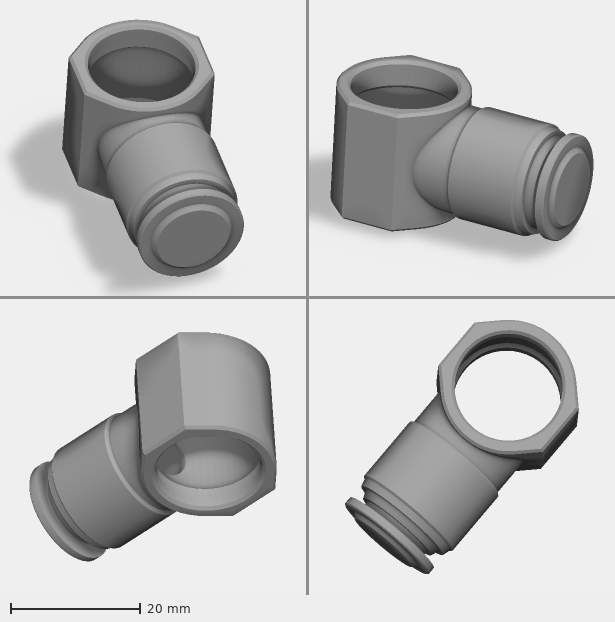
import cadquery as cq
import math

TILT_ABOUT_X = -2.6
TILT_ABOUT_Y = 1.7

HUB_RADIUS = 10.53
HUB_HEIGHT = 20.05
HUB_EDGE_CHAMFER = 0.45
BORE_RADIUS = 8.35
BORE_MOUTH_CHAMFER = 0.5
GROOVE_HEIGHT = 11.88
GROOVE_DEPTH = 0.6

NECK_RADIUS = 8.48
BODY_RADIUS = 8.95
CAP_BASE_RADIUS = 8.6
CAP_END_RADIUS = 8.27
NOSE_BASE_RADIUS = 7.37
NOSE_END_RADIUS = 6.85
STEM_RADIUS = 6.02
STEM_FILLET = 0.33
FLANGE_RADIUS = 8.48
FLANGE_CHAMFER = 0.2
FLANGE_FACE_RADIUS = 6.55
RIM_RADIUS = 5.8
RECESS_RADIUS = 4.2

BODY_START = 13.0
BODY_END = 23.92
CAP_START = 24.25
CAP_END = 25.45
NOSE_END = 26.7
FLANGE_BACK = 27.75
FLANGE_BACK_EDGE = 27.95
FLANGE_FRONT = 29.3
ARM_LENGTH = 30.0
RECESS_FLOOR = 9.0


def hub_blank():
    """Octagon prism whose +X and -X sides are rounded to the inscribed circle."""
    half_flat = HUB_RADIUS * math.tan(math.pi / 8)
    tangent = HUB_RADIUS * math.sqrt(0.5)
    return (
        cq.Workplane("XY")
        .workplane(offset=-HUB_HEIGHT / 2)
        .moveTo(-half_flat, -HUB_RADIUS)
        .lineTo(half_flat, -HUB_RADIUS)
        .lineTo(tangent, -tangent)
        .threePointArc((HUB_RADIUS, 0), (tangent, tangent))
        .lineTo(half_flat, HUB_RADIUS)
        .lineTo(-half_flat, HUB_RADIUS)
        .lineTo(-tangent, tangent)
        .threePointArc((-HUB_RADIUS, 0), (-tangent, -tangent))
        .close()
        .extrude(HUB_HEIGHT)
        .faces("<Z or >Z")
        .chamfer(HUB_EDGE_CHAMFER)
    )


def hub_bore():
    """Through bore with chamfered mouths and a wide groove with 45 degree end slopes at mid height."""
    top = HUB_HEIGHT / 2
    mouth_radius = BORE_RADIUS + BORE_MOUTH_CHAMFER
    mouth_end = top - BORE_MOUTH_CHAMFER
    groove_end = GROOVE_HEIGHT / 2
    groove_floor_end = groove_end - GROOVE_DEPTH
    groove_radius = BORE_RADIUS + GROOVE_DEPTH
    return (
        cq.Workplane("XZ")
        .moveTo(0, -top)
        .lineTo(mouth_radius, -top)
        .lineTo(BORE_RADIUS, -mouth_end)
        .lineTo(BORE_RADIUS, -groove_end)
        .lineTo(groove_radius, -groove_floor_end)
        .lineTo(groove_radius, groove_floor_end)
        .lineTo(BORE_RADIUS, groove_end)
        .lineTo(BORE_RADIUS, mouth_end)
        .lineTo(mouth_radius, top)
        .lineTo(0, top)
        .close()
        .revolve(360, (0, 0, 0), (0, 1, 0))
    )


def arm():
    """Neck, body, tapered cap and nose, and the flanged release collar, turned about X."""
    fillet_side = STEM_FILLET * (1 - math.sqrt(0.5))
    return (
        cq.Workplane("XY")
        .lineTo(0, NECK_RADIUS)
        .lineTo(BODY_START - (BODY_RADIUS - NECK_RADIUS), NECK_RADIUS)
        .lineTo(BODY_START, BODY_RADIUS)
        .lineTo(BODY_END, BODY_RADIUS)
        .lineTo(CAP_START, CAP_BASE_RADIUS)
        .lineTo(CAP_END, CAP_END_RADIUS)
        .lineTo(CAP_END, NOSE_BASE_RADIUS)
        .lineTo(NOSE_END, NOSE_END_RADIUS)
        .lineTo(NOSE_END, STEM_RADIUS)
        .lineTo(FLANGE_BACK - STEM_FILLET, STEM_RADIUS)
        .threePointArc(
            (FLANGE_BACK - fillet_side, STEM_RADIUS + fillet_side),
            (FLANGE_BACK, STEM_RADIUS + STEM_FILLET),
        )
        .lineTo(FLANGE_BACK_EDGE, FLANGE_RADIUS)
        .lineTo(FLANGE_FRONT - FLANGE_CHAMFER, FLANGE_RADIUS)
        .lineTo(FLANGE_FRONT, FLANGE_RADIUS - FLANGE_CHAMFER)
        .lineTo(FLANGE_FRONT, FLANGE_FACE_RADIUS)
        .lineTo(ARM_LENGTH, RIM_RADIUS)
        .lineTo(ARM_LENGTH, 0)
        .close()
        .revolve(360, (0, 0, 0), (1, 0, 0))
    )


def arm_recess():
    """Shallow round recess in the bore wall, ending in a flat floor at the root of the arm."""
    return cq.Workplane("YZ").circle(RECESS_RADIUS).extrude(RECESS_FLOOR)


square_part = hub_blank().union(arm()).cut(hub_bore()).cut(arm_recess())
result = square_part.rotate((0, 0, 0), (1, 0, 0), TILT_ABOUT_X).rotate((0, 0, 0), (0, 1, 0), TILT_ABOUT_Y)